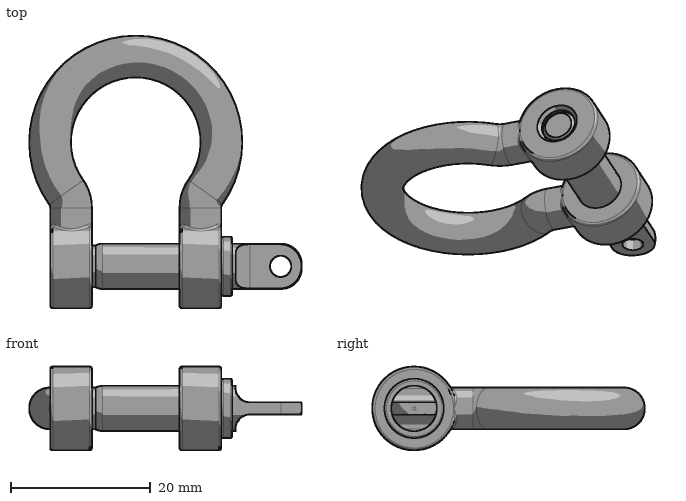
import cadquery as cq
import math

BAR_DIA = 6.0
BAR_RADIUS = BAR_DIA / 2
RING_RADIUS = 12.25
RING_CENTER_Y = 17.75
EYE_SPACING = 18.5
EYE_CENTER_X = EYE_SPACING / 2
LEG_TOP_Y = 8.4

EYE_DIA = 2 * BAR_DIA
EYE_WIDTH = BAR_DIA
EYE_FILLET = 0.4
JOINT_FILLET = 0.4

THREAD_DIA = 5.0
COUNTERSINK_DEPTH = 0.5

SHANK_DIA = 6.5
NECK_DIA = BAR_DIA
NECK_LENGTH = 0.5
SHOULDER_RADIUS = 2.0
PIN_END_RECESS = 0.5
PIN_END_CHAMFER = 0.5
COLLAR_DIA = 8.5
COLLAR_LENGTH = 1.52
COLLAR_FILLET = 0.27

TAB_THICKNESS = 1.8
TAB_START_X = 14.27
TAB_ROOT_FILLET = 2.0
TAB_TIP_ROUND = 3.05
TAB_TIP_X = 23.75
TAB_HOLE_DIA = 3.0

EYE_INNER_X = EYE_CENTER_X - EYE_WIDTH / 2
EYE_OUTER_X = EYE_CENTER_X + EYE_WIDTH / 2


def x_cylinder(start_x, length, diameter):
    """Cylinder on the pin axis."""
    return cq.Workplane("YZ", origin=(start_x, 0, 0)).circle(diameter / 2).extrude(length)


def make_bow():
    """Bar swept up one leg, round the ring and down the other leg."""
    drop = RING_CENTER_Y - LEG_TOP_Y
    bend_radius = (EYE_CENTER_X**2 + drop**2 - RING_RADIUS**2) / (2 * (RING_RADIUS - EYE_CENTER_X))
    bend_center_x = EYE_CENTER_X + bend_radius
    bend_angle = math.atan2(drop, bend_center_x)

    join_x = RING_RADIUS * math.cos(bend_angle)
    join_y = RING_CENTER_Y - RING_RADIUS * math.sin(bend_angle)
    mid_x = bend_center_x - bend_radius * math.cos(bend_angle / 2)
    mid_y = LEG_TOP_Y + bend_radius * math.sin(bend_angle / 2)

    path = (
        cq.Workplane("XY")
        .moveTo(-EYE_CENTER_X, EYE_DIA / 4)
        .lineTo(-EYE_CENTER_X, LEG_TOP_Y)
        .threePointArc((-mid_x, mid_y), (-join_x, join_y))
        .threePointArc((0, RING_CENTER_Y + RING_RADIUS), (join_x, join_y))
        .threePointArc((mid_x, mid_y), (EYE_CENTER_X, LEG_TOP_Y))
        .lineTo(EYE_CENTER_X, EYE_DIA / 4)
    )
    profile = cq.Workplane("XZ", origin=(-EYE_CENTER_X, EYE_DIA / 4, 0)).circle(BAR_RADIUS)
    return profile.sweep(path)


def make_eye(center_x):
    eye = x_cylinder(center_x - EYE_WIDTH / 2, EYE_WIDTH, EYE_DIA)
    return eye.edges().fillet(EYE_FILLET)


def fillet_joints(shackle):
    """Round the curves where the bar runs into the eyes."""
    eye_radius = EYE_DIA / 2
    lowest_y = math.sqrt((eye_radius - EYE_FILLET) ** 2 - BAR_RADIUS**2)
    joints = cq.selectors.BoxSelector(
        (-EYE_OUTER_X, lowest_y, -BAR_RADIUS), (EYE_OUTER_X, eye_radius, BAR_RADIUS)
    )
    return shackle.edges(joints).edges("not %LINE").edges("not %CIRCLE").fillet(JOINT_FILLET)


def make_shackle():
    shackle = make_bow()
    for center_x in (-EYE_CENTER_X, EYE_CENTER_X):
        shackle = shackle.union(make_eye(center_x))
    shackle = fillet_joints(shackle)

    thread_hole = x_cylinder(-EYE_OUTER_X, EYE_WIDTH, THREAD_DIA)
    countersink_dia = THREAD_DIA + 2 * COUNTERSINK_DEPTH
    countersink = cq.Workplane("XY").add(
        cq.Solid.makeCone(
            countersink_dia / 2,
            THREAD_DIA / 2,
            COUNTERSINK_DEPTH,
            pnt=cq.Vector(-EYE_OUTER_X, 0, 0),
            dir=cq.Vector(1, 0, 0),
        )
    )
    plain_hole = x_cylinder(EYE_INNER_X, EYE_WIDTH, SHANK_DIA)
    return shackle.cut(thread_hole).cut(countersink).cut(plain_hole)


def make_turned_pin():
    """Thread, neck, shank, collar and head, turned about the X axis."""
    end_x = -EYE_OUTER_X + PIN_END_RECESS
    thread = x_cylinder(end_x, -EYE_INNER_X - end_x, THREAD_DIA).faces("<X").chamfer(PIN_END_CHAMFER)

    neck = x_cylinder(-EYE_INNER_X, NECK_LENGTH, NECK_DIA)

    shank_radius = SHANK_DIA / 2
    neck_radius = NECK_DIA / 2
    arc_center_r = shank_radius - SHOULDER_RADIUS
    shoulder_length = math.sqrt(SHOULDER_RADIUS**2 - (neck_radius - arc_center_r) ** 2)
    shoulder_x = -EYE_INNER_X + NECK_LENGTH
    arc_center_x = shoulder_x + shoulder_length
    half_angle = math.asin(shoulder_length / SHOULDER_RADIUS) / 2
    arc_middle = (
        arc_center_x - SHOULDER_RADIUS * math.sin(half_angle),
        arc_center_r + SHOULDER_RADIUS * math.cos(half_angle),
    )
    shank = (
        cq.Workplane("XY")
        .moveTo(shoulder_x, 0)
        .lineTo(shoulder_x, neck_radius)
        .threePointArc(arc_middle, (arc_center_x, shank_radius))
        .lineTo(TAB_TIP_X, shank_radius)
        .lineTo(TAB_TIP_X, 0)
        .close()
        .revolve(360, (0, 0, 0), (1, 0, 0))
        .faces(">X")
        .edges()
        .fillet(TAB_TIP_ROUND)
    )

    collar = x_cylinder(EYE_OUTER_X, COLLAR_LENGTH, COLLAR_DIA).edges().fillet(COLLAR_FILLET)
    return thread.union(neck).union(shank).union(collar)


def make_flat_cutter():
    """Block that removes the material above the tab, rounded at the tab root."""
    length = TAB_TIP_X - TAB_START_X
    return (
        cq.Workplane("XY", origin=(TAB_START_X, 0, TAB_THICKNESS / 2))
        .box(length, SHANK_DIA, SHANK_DIA, centered=(False, True, False))
        .edges("<X and <Z")
        .fillet(TAB_ROOT_FILLET)
    )


def make_pin():
    upper_cutter = make_flat_cutter()
    lower_cutter = upper_cutter.mirror("XY")
    tab_hole = (
        cq.Workplane("XY", origin=(TAB_TIP_X - TAB_TIP_ROUND, 0, -TAB_THICKNESS / 2))
        .circle(TAB_HOLE_DIA / 2)
        .extrude(TAB_THICKNESS)
    )
    return make_turned_pin().cut(upper_cutter).cut(lower_cutter).cut(tab_hole)


shackle = make_shackle()
pin = make_pin()
result = cq.Compound.makeCompound([shackle.val(), pin.val()])